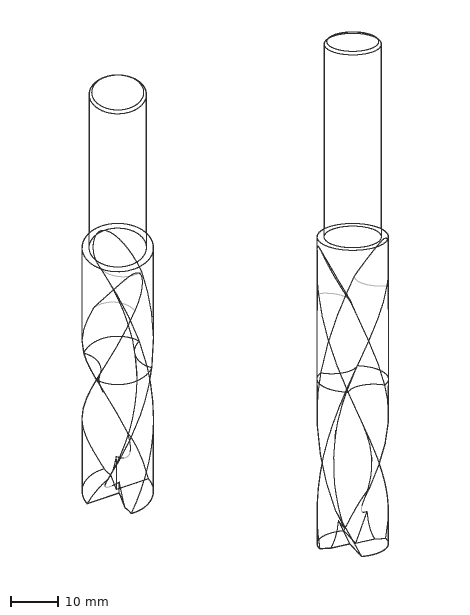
import cadquery as cq
import math

total_length = 115.0
body_radius = 7.6
shank_radius = 6.1
shank_chamfer = 0.6
shoulder_height = 70.3
tip_height = 37.7

flute_count = 2
flute_pitch = 112.2
flute_start_angle = -86.3
flute_radius = 5.5
web_radius = 4.0
flute_offset = web_radius + flute_radius
flute_end_height = 58.2
runout_length = 12.1
runout_side_slope = 0.7
runout_outward_slope = 0.11

gash_height = 15.0
gash_root = (0.5, -0.5)
gash_rim_point = (-5.1, -5.6)
gash_flute_point = (2.3, -3.5)
gash_lean = (0.16, -0.52)
gash_reach = 2.0 * body_radius


def twist_at(height):
    """Degrees the flutes have turned at a height above the bottom end."""
    return 360.0 * height / flute_pitch


def flute_angles():
    """Direction of each flute at the bottom end."""
    return [flute_start_angle + 360.0 * i / flute_count for i in range(flute_count)]


def helical_flute(angle, bottom, top):
    """Helical groove cutter between two heights; angle is its direction at height zero."""
    return (
        cq.Workplane("XY")
        .pushPoints([(flute_offset, 0)])
        .circle(flute_radius)
        .twistExtrude(top - bottom, twist_at(top - bottom))
        .rotate((0, 0, 0), (0, 0, 1), angle + twist_at(bottom))
        .translate((0, 0, bottom))
    )


def flute_runout(angle):
    """Slanted round cutter that carries the groove out through the side of the body."""
    shift_out = runout_outward_slope * runout_length
    shift_side = runout_side_slope * runout_length
    return (
        cq.Workplane("XY")
        .center(flute_offset, 0)
        .circle(flute_radius)
        .workplane(offset=runout_length)
        .center(shift_out, shift_side)
        .circle(flute_radius)
        .loft(ruled=True)
        .rotate((0, 0, 0), (0, 0, 1), angle + twist_at(flute_end_height))
        .translate((0, 0, flute_end_height))
    )


def gash_face_end(start, through):
    """Point at the gash reach from start, in the direction of the second point."""
    run_x = through[0] - start[0]
    run_y = through[1] - start[1]
    scale = gash_reach / math.hypot(run_x, run_y)
    return (start[0] + run_x * scale, start[1] + run_y * scale)


def gash():
    """V-section cutter that leans outward as it rises from the bottom face."""
    outline = [
        gash_face_end(gash_root, gash_rim_point),
        gash_root,
        gash_face_end(gash_root, gash_flute_point),
    ]
    return (
        cq.Workplane("XY")
        .polyline(outline)
        .close()
        .workplane(offset=gash_height)
        .center(gash_lean[0] * gash_height, gash_lean[1] * gash_height)
        .polyline(outline)
        .close()
        .loft(ruled=True)
    )


def make_tip():
    """Cutting tip: the lower fluted body, with a gash at each flute."""
    tip = cq.Workplane("XY").circle(body_radius).extrude(tip_height)
    for angle in flute_angles():
        tip = tip.cut(helical_flute(angle, 0, tip_height))
    for i in range(flute_count):
        tip = tip.cut(gash().rotate((0, 0, 0), (0, 0, 1), 360.0 * i / flute_count))
    return tip


def make_shank():
    """Shank: the upper fluted body and the plain chamfered stem above its shoulder."""
    shank = (
        cq.Workplane("XY", origin=(0, 0, tip_height))
        .circle(body_radius)
        .extrude(shoulder_height - tip_height)
        .faces(">Z")
        .workplane()
        .circle(shank_radius)
        .extrude(total_length - shoulder_height)
        .faces(">Z")
        .chamfer(shank_chamfer)
    )
    for angle in flute_angles():
        shank = shank.cut(helical_flute(angle, tip_height, flute_end_height))
        shank = shank.cut(flute_runout(angle))
    return shank


tip = make_tip()
shank = make_shank()
result = cq.Compound.makeCompound([tip.val(), shank.val()])